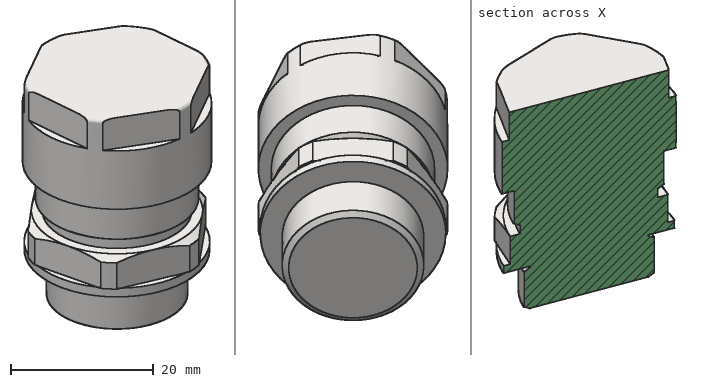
import cadquery as cq
import math

thread_diameter = 19.85
thread_root_diameter = 18.0
washer_diameter = 26.0
wrench_diameter = 26.5
neck_diameter = 21.0
body_diameter = 22.85
across_flats = 24.0

washer_bottom = 7.6
washer_top = 9.0
hex_top = 14.0
body_bottom = 15.5
cap_bottom = 22.0
cap_hex_bottom = 31.47
total_height = 36.47

thread_runout_top = 7.45
cap_edge_radius = 0.7
cap_hex_turn = -8.6
cone_slope = math.tan(math.radians(30))


def cone_height(large_diameter, small_diameter):
    """Height of a 30 degree chamfer between two diameters."""
    return (large_diameter - small_diameter) / 2 * cone_slope


def cylinder(diameter, bottom, top):
    return cq.Workplane("XY").workplane(offset=bottom).circle(diameter / 2).extrude(top - bottom)


def hexagon(bottom, top, turn=0):
    """Hexagonal prism with two flats facing +Y and -Y before it is turned."""
    corner_diameter = across_flats / math.cos(math.pi / 6)
    prism = cq.Workplane("XY").workplane(offset=bottom).polygon(6, corner_diameter).extrude(top - bottom)
    return prism.rotate((0, 0, 0), (0, 0, 1), turn)


def revolved_core():
    """Threaded end, washer, neck and body as one turned profile."""
    thread_radius = thread_diameter / 2
    root_radius = thread_root_diameter / 2
    washer_radius = washer_diameter / 2
    neck_radius = neck_diameter / 2
    body_radius = body_diameter / 2
    thread_chamfer = cone_height(thread_diameter, thread_root_diameter)
    body_chamfer = cone_height(body_diameter, neck_diameter)
    profile = [
        (0, 0),
        (root_radius, 0),
        (thread_radius, thread_chamfer),
        (thread_radius, thread_runout_top - thread_chamfer),
        (root_radius, thread_runout_top),
        (root_radius, washer_bottom),
        (washer_radius, washer_bottom),
        (washer_radius, washer_top),
        (neck_radius, washer_top),
        (neck_radius, body_bottom),
        (body_radius, body_bottom + body_chamfer),
        (body_radius, cap_bottom),
        (0, cap_bottom),
    ]
    return cq.Workplane("XZ").polyline(profile).close().revolve(360, (0, 0, 0), (0, 1, 0))


def body_hex():
    """Hexagon with rounded corners and a conical chamfer on its upper face."""
    chamfer_height = cone_height(wrench_diameter, across_flats)
    chamfer_width = (wrench_diameter - across_flats) / 2
    blank = cylinder(wrench_diameter, washer_top, hex_top)
    blank = blank.faces(">Z").edges().chamfer(chamfer_height, chamfer_width)
    return blank.intersect(hexagon(washer_top, hex_top))


def cap():
    """Round skirt under a hexagon whose corners carry a rounded upper edge."""
    skirt = cylinder(wrench_diameter, cap_bottom, cap_hex_bottom)
    blank = cylinder(wrench_diameter, cap_hex_bottom, total_height)
    blank = blank.faces(">Z").edges().fillet(cap_edge_radius)
    return skirt.union(blank.intersect(hexagon(cap_hex_bottom, total_height, cap_hex_turn)))


result = revolved_core().union(body_hex()).union(cap())